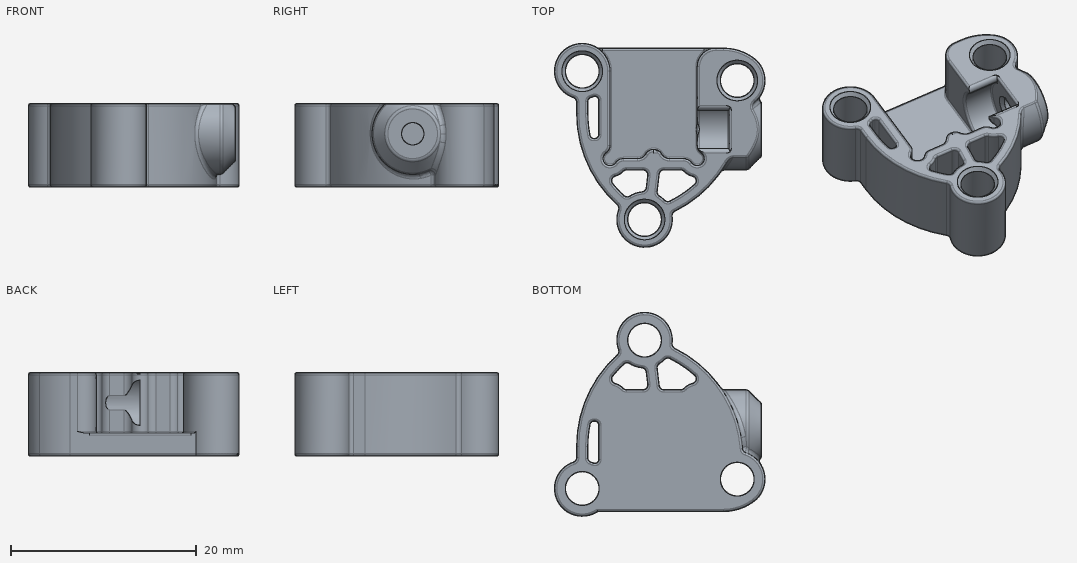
import cadquery as cq
import math

LENGTH = 22.7
HEIGHT = 9.0
FULL = (0, LENGTH)
FULL_Z = (0, HEIGHT)
EDGE_ROUND = 0.25
CORNER_ROUND = 0.5
WALL = 1.23

BOSS_RADIUS = 3.0
HOLE_DIAMETER = 3.6
COUNTERSINK = 0.39
COUNTERSINK_ANGLE = 90
BOSS_LEFT = (BOSS_RADIUS, 18.99)
BOSS_RIGHT = (LENGTH - BOSS_RADIUS, 17.99)
BOSS_FRONT = (9.72, BOSS_RADIUS)
BOSSES = (BOSS_LEFT, BOSS_RIGHT, BOSS_FRONT)

BACK_Y = 21.48
LEFT_ARC_CENTER = (15.67, 14.45)
LEFT_ARC_RADIUS = 13.29
RIGHT_ARC_CENTER = (7.15, 15.7)
RIGHT_ARC_RADIUS = 13.17
SHOULDER_RADIUS = 5.5

FLOOR_Z = 2.5
POCKET_LEFT = 2 * BOSS_RADIUS
POCKET_WIDTH = 9.4
POCKET_RIGHT = POCKET_LEFT + POCKET_WIDTH
POCKET_MID = POCKET_LEFT + POCKET_WIDTH / 2
POCKET_FRONT = 9.55
RELIEF_RADIUS = 0.75
BLEND_RADIUS = 1.0
PILLAR_ROUND = 2.0
FLOOR_ROUND = 0.15

CHAMBER_RADIUS = (HEIGHT - FLOOR_Z) / 2
AXIS_Y = 12.72
AXIS_Z = FLOOR_Z + CHAMBER_RADIUS
CHAMBER_END = 18.83
THROAT_ROUND = 0.5
BARREL_RADIUS = 4.38
BARREL_END = 22.35
BARREL_CHAMFER = 1.5
BORE_DIAMETER = 2.4

RIB_POINT = (10.67, 7.8)
RIB_TILT = 6.8
SLOT_FRONT = 11.75
SLOT_ROUND = 0.4


def cylinder_z(center, radius, height=HEIGHT, base=0):
    return cq.Workplane("XY", origin=(*center, base)).circle(radius).extrude(height)


def block(x_range, y_range, z_range):
    (x0, x1), (y0, y1), (z0, z1) = x_range, y_range, z_range
    return cq.Workplane("XY").box(x1 - x0, y1 - y0, z1 - z0, centered=False).translate((x0, y0, z0))


def cylinder_x(x0, x1, radius, y=AXIS_Y, z=AXIS_Z):
    return cq.Workplane("YZ", origin=(x0, y, z)).circle(radius).extrude(x1 - x0)


def curved_web(inset=0):
    """Region between the two curved side walls, behind the front boss, moved inward by inset."""
    left_x = LEFT_ARC_CENTER[0] - LEFT_ARC_RADIUS + inset
    left = cylinder_z(LEFT_ARC_CENTER, LEFT_ARC_RADIUS - inset)
    left = left.union(block((left_x, LENGTH), (LEFT_ARC_CENTER[1], BACK_Y), FULL_Z))
    right = cylinder_z(RIGHT_ARC_CENTER, RIGHT_ARC_RADIUS - inset)
    span = block(FULL, (BOSS_FRONT[1], BOSS_RIGHT[1]), FULL_Z)
    return left.intersect(right).intersect(span)


def shoulder():
    """Block along the back, with an arc tangent to the back and to the right boss."""
    center_y = BACK_Y - SHOULDER_RADIUS
    reach = SHOULDER_RADIUS - BOSS_RADIUS
    center_x = BOSS_RIGHT[0] - math.sqrt(reach**2 - (BOSS_RIGHT[1] - center_y) ** 2)
    angle = math.atan2(BOSS_RIGHT[1] - center_y, BOSS_RIGHT[0] - center_x)
    half = (angle + math.pi / 2) / 2

    def on_arc(a):
        return center_x + SHOULDER_RADIUS * math.cos(a), center_y + SHOULDER_RADIUS * math.sin(a)

    return (
        cq.Workplane("XY")
        .moveTo(BOSS_LEFT[0], center_y)
        .lineTo(BOSS_LEFT[0], BACK_Y)
        .lineTo(center_x, BACK_Y)
        .threePointArc(on_arc(half), on_arc(angle))
        .lineTo(*BOSS_RIGHT)
        .lineTo(BOSS_RIGHT[0], center_y)
        .close()
        .extrude(HEIGHT)
    )


def center_box(x_range, y_range, z_range):
    """Selector for edges whose center lies inside a box."""
    return cq.selectors.BoxSelector(*zip(x_range, y_range, z_range))


def barrel():
    """Horizontal cylinder with a chamfered and rounded end, cut flush with the top face."""
    solid = cylinder_x(POCKET_RIGHT, BARREL_END, BARREL_RADIUS).faces(">X").chamfer(BARREL_CHAMFER)
    end_rims = center_box((CHAMBER_END, BARREL_END + EDGE_ROUND), FULL, FULL_Z)
    solid = solid.edges("%CIRCLE").edges(end_rims).fillet(CORNER_ROUND)
    return solid.intersect(block(FULL, FULL, FULL_Z))


def outer_body():
    """Web, shoulder, bosses and barrel joined, with their inside corners rounded."""
    body = curved_web().union(shoulder())
    for boss in BOSSES:
        body = body.union(cylinder_z(boss, BOSS_RADIUS))
    for x, y in (BOSS_LEFT, BOSS_FRONT):
        x_range = (x - BOSS_RADIUS, x + BOSS_RADIUS)
        y_range = (y - BOSS_RADIUS, y + 1.82)
        beside_boss = center_box(x_range, y_range, FULL_Z)
        body = body.edges("|Z").edges(beside_boss).fillet(CORNER_ROUND)
    body = body.union(barrel()).clean()
    above_bottom = (0.23, HEIGHT - 0.23)
    neck = center_box((17.95, 20.45), (8.4, 14.99), above_bottom)
    boss_side = center_box((20.21, 22.03), (14.99, 16.12), above_bottom)
    return body.edges(neck + boss_side).fillet(CORNER_ROUND)


def pocket():
    """Tool for the open pocket, with corner reliefs, a bump in front and a rounded floor edge."""
    top_z = HEIGHT + 0.23
    z_range = (FLOOR_Z, top_z)
    depth = top_z - FLOOR_Z
    open_end = LENGTH + BOSS_RADIUS
    tool = block((POCKET_LEFT, POCKET_RIGHT), (POCKET_FRONT, open_end), z_range)
    tool = tool.cut(cylinder_z((POCKET_MID, POCKET_FRONT), BLEND_RADIUS, depth, FLOOR_Z))
    for x in (POCKET_LEFT, POCKET_RIGHT):
        tool = tool.union(cylinder_z((x, POCKET_FRONT), RELIEF_RADIUS, depth, FLOOR_Z))
    front_corners = center_box(FULL, (0, POCKET_FRONT + BLEND_RADIUS), z_range)
    tool = tool.edges("|Z").edges(front_corners).fillet(BLEND_RADIUS)

    pillar_x = POCKET_RIGHT + PILLAR_ROUND
    pillar_y = BACK_Y - PILLAR_ROUND
    left_side = block((BOSS_LEFT[0], POCKET_LEFT), (BOSS_LEFT[1], open_end), z_range)
    right_side = block((POCKET_RIGHT, pillar_x), (pillar_y, open_end), z_range)
    left_side = left_side.cut(cylinder_z(BOSS_LEFT, BOSS_RADIUS, depth, FLOOR_Z))
    right_side = right_side.cut(cylinder_z((pillar_x, pillar_y), PILLAR_ROUND, depth, FLOOR_Z))
    tool = tool.union(left_side).union(right_side).clean()
    return tool.faces("<Z").edges().fillet(FLOOR_ROUND)


def windows():
    """Tools for the slot beside the left boss and the two windows around the front rib."""
    inner_web = curved_web(WALL)
    slot = inner_web.intersect(block((0, POCKET_LEFT - WALL), (SLOT_FRONT, LENGTH), FULL_Z))
    slot = slot.cut(cylinder_z(BOSS_LEFT, BOSS_RADIUS))
    slot = slot.edges("|Z").fillet(SLOT_ROUND)

    front = inner_web.intersect(block(FULL, (0, POCKET_FRONT - WALL), FULL_Z))
    front = front.cut(cylinder_z(BOSS_FRONT, BOSS_RADIUS))
    for x in (POCKET_LEFT, POCKET_RIGHT):
        front = front.cut(cylinder_z((x, POCKET_FRONT), RELIEF_RADIUS + WALL))
    rib = cq.Workplane("XY").rect(WALL, 2 * HEIGHT).extrude(HEIGHT)
    rib = rib.rotate((0, 0, 0), (0, 0, 1), -RIB_TILT).translate((*RIB_POINT, 0))
    front = front.cut(rib).edges("|Z").fillet(CORNER_ROUND)
    return slot.union(front)


def chamber():
    """Tool for the round chamber, its rounded throat in the top face and the bore in its end."""
    tool = cylinder_x(POCKET_MID, CHAMBER_END, CHAMBER_RADIUS).faces(">X").edges().fillet(FLOOR_ROUND)

    roll_z = HEIGHT - THROAT_ROUND
    roll_y = math.sqrt((CHAMBER_RADIUS + THROAT_ROUND) ** 2 - (roll_z - AXIS_Z) ** 2)
    end_x = CHAMBER_END + EDGE_ROUND
    touch_z = AXIS_Z + (roll_z - AXIS_Z) * CHAMBER_RADIUS / (CHAMBER_RADIUS + THROAT_ROUND)
    throat = block((POCKET_MID, end_x), (AXIS_Y - roll_y, AXIS_Y + roll_y), (touch_z, HEIGHT))
    throat = throat.edges("|Z and >X").fillet(THROAT_ROUND)
    for side in (-1, 1):
        throat = throat.cut(cylinder_x(POCKET_MID, end_x, THROAT_ROUND, AXIS_Y + side * roll_y, roll_z))
    end_roll_z = HEIGHT - EDGE_ROUND
    throat = throat.cut(block((CHAMBER_END, end_x), FULL, (touch_z, end_roll_z)))
    end_roll = cq.Workplane("XZ", origin=(end_x, 0, end_roll_z)).circle(EDGE_ROUND).extrude(-LENGTH)
    tool = tool.union(throat.cut(end_roll))

    flare_radius = CHAMBER_RADIUS + EDGE_ROUND
    flare_end = POCKET_RIGHT + EDGE_ROUND
    flare = cylinder_x(POCKET_RIGHT, flare_end, flare_radius)
    lip = (
        cq.Workplane("XY", origin=(flare_end, AXIS_Y + flare_radius, AXIS_Z))
        .circle(EDGE_ROUND)
        .revolve(360, (0, -flare_radius, 0), (1, -flare_radius, 0))
    )
    flare = flare.cut(lip).intersect(block(FULL, FULL, (FLOOR_Z, HEIGHT)))
    tool = tool.union(flare)

    bore_radius = BORE_DIAMETER / 2
    bore = cylinder_x(CHAMBER_END, BARREL_END, bore_radius)
    countersink = cq.Solid.makeCone(
        bore_radius + COUNTERSINK,
        bore_radius,
        COUNTERSINK,
        cq.Vector(CHAMBER_END, AXIS_Y, AXIS_Z),
        cq.Vector(1, 0, 0),
    )
    return tool.union(bore).union(cq.Workplane(countersink))


def floor_edge():
    """Tool that rounds the upper back edge of the pocket floor between the two corner rounds."""
    inner_y = BACK_Y - EDGE_ROUND
    axis_z = FLOOR_Z - EDGE_ROUND
    left_reach = math.sqrt((BOSS_RADIUS + FLOOR_ROUND) ** 2 - (inner_y - BOSS_LEFT[1]) ** 2)
    right_reach = math.sqrt((PILLAR_ROUND + FLOOR_ROUND) ** 2 - (PILLAR_ROUND - EDGE_ROUND) ** 2)
    x0 = BOSS_LEFT[0] + left_reach
    x1 = POCKET_RIGHT + PILLAR_ROUND - right_reach
    strip = block((x0, x1), (inner_y, BACK_Y), (axis_z, FLOOR_Z))
    return strip.cut(cylinder_x(x0, x1, EDGE_ROUND, inner_y, axis_z))


def drill_bosses(body):
    """Countersunk screw holes through all three bosses."""
    return (
        body.faces(">Z")
        .workplane(origin=(0, 0, HEIGHT))
        .pushPoints(BOSSES)
        .cskHole(HOLE_DIAMETER, HOLE_DIAMETER + 2 * COUNTERSINK, COUNTERSINK_ANGLE)
    )


result = outer_body()
result = result.cut(pocket()).cut(windows())
result = result.faces(">Z or <Z").edges().fillet(EDGE_ROUND)
result = result.cut(chamber()).cut(floor_edge())
result = drill_bosses(result)